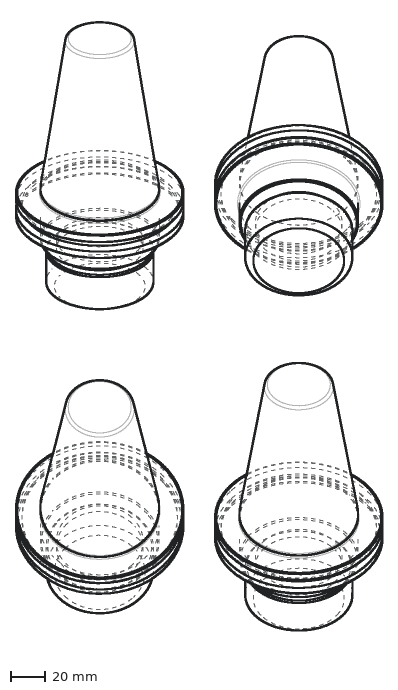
import cadquery as cq

total_height = 168.6

gauge_diameter = 69.8
taper_length = 101.7
taper_ratio = 7 / 24
tip_fillet = 1.9
relief_depth = 0.5
relief_step_height = 0.7
relief_fillet = 1.0

flange_diameter = 98.5
flange_width = 15.8
flange_offset = 3.2
flange_bevel_width = 0.8
flange_bevel_height = 0.3
groove_floor_diameter = 91.2
groove_floor_width = 2.7
groove_mouth_width = 6.4

body_diameter = 69.8
body_bottom_z = 31.7
body_edge_chamfer = 0.8
body_root_fillet = 1.0
neck_diameter = 51.0

nut_diameter = 63.0
nut_height = 25.8
nut_top_chamfer = 1.0
nut_face_diameter = 53.3
nut_bevel_height = 3.0

gauge_z = total_height - taper_length
flange_top_z = gauge_z - flange_offset
flange_bottom_z = flange_top_z - flange_width
groove_z = (flange_top_z + flange_bottom_z) / 2


def cylinder(diameter, bottom_z, top_z):
    """Solid cylinder on the Z axis between two heights."""
    return cq.Workplane("XY").workplane(offset=bottom_z).circle(diameter / 2).extrude(top_z - bottom_z)


def revolved(points):
    """Turn a closed (radius, height) outline about the Z axis."""
    return cq.Workplane("XZ").polyline(points).close().revolve(360, (0, 0, 0), (0, 1, 0))


def make_shank():
    """Taper with a rounded tip and a shallow filleted relief where it meets the flange."""
    gauge_radius = gauge_diameter / 2
    tip_radius = gauge_radius - taper_length * taper_ratio / 2
    relief_radius = gauge_radius - relief_depth
    relief_z = flange_top_z + relief_fillet
    arc_offset = relief_fillet * (1 - 0.5 ** 0.5)
    shank = (
        cq.Workplane("XZ")
        .moveTo(0, flange_top_z)
        .lineTo(relief_radius + relief_fillet, flange_top_z)
        .threePointArc(
            (relief_radius + arc_offset, flange_top_z + arc_offset),
            (relief_radius, relief_z),
        )
        .lineTo(gauge_radius, relief_z + relief_step_height)
        .lineTo(gauge_radius, gauge_z)
        .lineTo(tip_radius, total_height)
        .lineTo(0, total_height)
        .close()
        .revolve(360, (0, 0, 0), (0, 1, 0))
    )
    return shank.faces(">Z").edges().fillet(tip_fillet)


def make_flange():
    """Disc with a V-sided gripper groove around its rim."""
    rim_radius = flange_diameter / 2
    face_radius = rim_radius - flange_bevel_width
    floor_radius = groove_floor_diameter / 2
    return revolved([
        (0, flange_bottom_z),
        (face_radius, flange_bottom_z),
        (rim_radius, flange_bottom_z + flange_bevel_height),
        (rim_radius, groove_z - groove_mouth_width / 2),
        (floor_radius, groove_z - groove_floor_width / 2),
        (floor_radius, groove_z + groove_floor_width / 2),
        (rim_radius, groove_z + groove_mouth_width / 2),
        (rim_radius, flange_top_z - flange_bevel_height),
        (face_radius, flange_top_z),
        (0, flange_top_z),
    ])


def make_body():
    """Cylinder under the flange with a fillet ring where it meets the flange."""
    body = cylinder(body_diameter, body_bottom_z, flange_bottom_z)
    body = body.faces("<Z").edges().chamfer(body_edge_chamfer)
    radius = body_diameter / 2
    root_z = flange_bottom_z - body_root_fillet
    arc_offset = body_root_fillet * (1 - 0.5 ** 0.5)
    root = (
        cq.Workplane("XZ")
        .moveTo(0, flange_bottom_z)
        .lineTo(radius + body_root_fillet, flange_bottom_z)
        .threePointArc((radius + arc_offset, flange_bottom_z - arc_offset), (radius, root_z))
        .lineTo(0, root_z)
        .close()
        .revolve(360, (0, 0, 0), (0, 1, 0))
    )
    return body.union(root)


def make_nut():
    """Collet nut with a small top chamfer and a wide bevel at its face."""
    radius = nut_diameter / 2
    return revolved([
        (0, 0),
        (nut_face_diameter / 2, 0),
        (radius, nut_bevel_height),
        (radius, nut_height - nut_top_chamfer),
        (radius - nut_top_chamfer, nut_height),
        (0, nut_height),
    ])


neck = cylinder(neck_diameter, nut_height, body_bottom_z)

result = make_nut().union(neck).union(make_body()).union(make_flange()).union(make_shank())